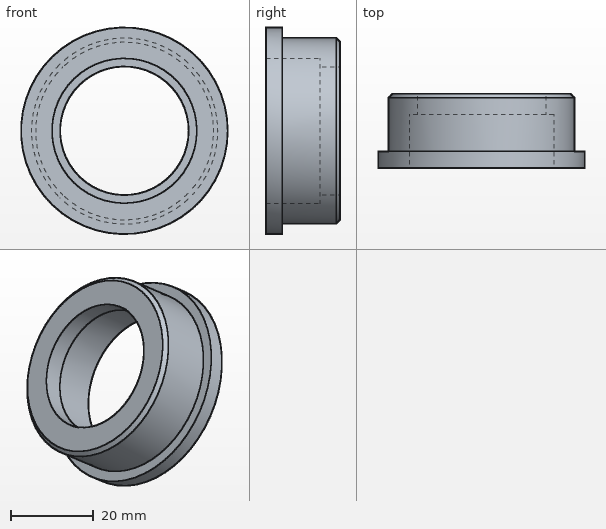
import cadquery as cq

flange_diameter = 50
flange_thickness = 4
body_diameter = 45
total_length = 18
bore_diameter = 31
counterbore_diameter = 35
counterbore_depth = 13
rim_chamfer = 1


def cylinder_along_y(diameter, length):
    """Cylinder starting on the flange face (Y = 0) and growing toward +Y."""
    return cq.Workplane("XZ").circle(diameter / 2).extrude(-length)


body = cylinder_along_y(body_diameter, total_length).faces(">Y").chamfer(rim_chamfer)
flange = cylinder_along_y(flange_diameter, flange_thickness)

bore = cylinder_along_y(bore_diameter, total_length)
counterbore = cylinder_along_y(counterbore_diameter, counterbore_depth)

result = body.union(flange).cut(bore).cut(counterbore)